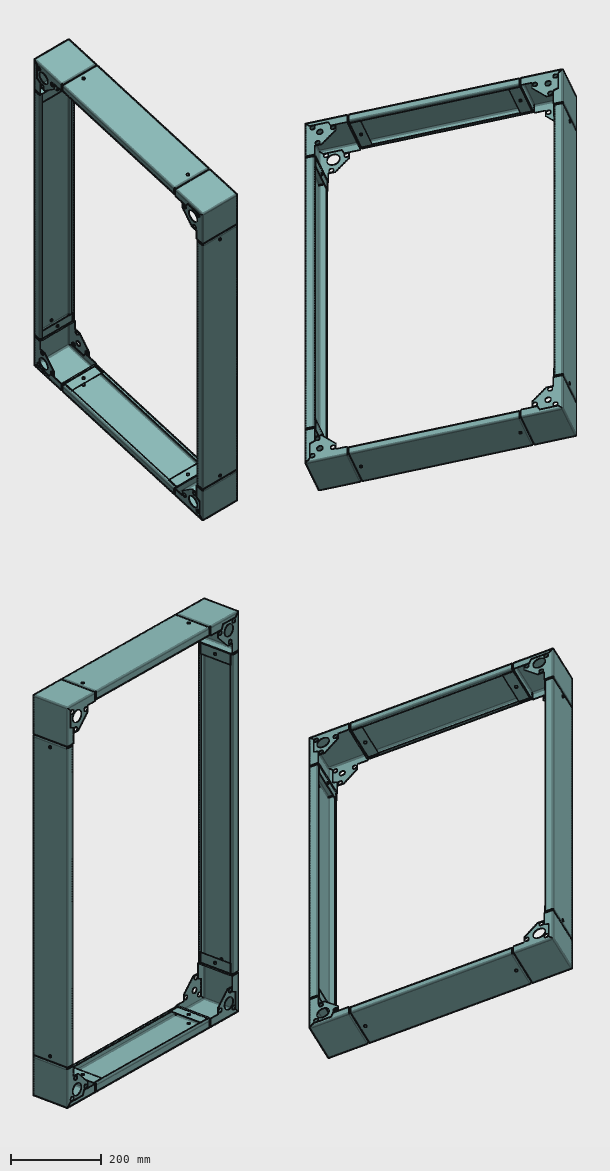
import cadquery as cq

frame_width = 600.0
frame_height = 1000.0
frame_depth = 100.0
sheet = 2.0
bend_radius = 3.0
inner_bend_radius = bend_radius - sheet

corner_size = 100.0
flange_width = 23.0
tab_reach = 28.0
tab_width = 88.0
gusset_reach = 72.5
gusset_tip = 39.0
front_opening_diameter = 30.0
back_opening_diameter = 14.0
opening_offset = 35.0
relief_hole_diameter = 11.0
relief_hole_offset = 18.0
bolt_hole_diameter = 11.0
bolt_hole_near = 30.0
bolt_hole_far = 65.5

slit_width = 0.4
slit_offset = 11.5
slit_turn = 55.0
slit_slant = 5.0

rail_depth = 22.0
joint_gap = 0.5
rail_return = 8.5
rivet_hole_diameter = 7.0
rivet_hole_offset = 15.0
seat_depth = rail_depth + sheet


def block(x_range, y_range, z_range):
    """Box given by its limits along each axis."""
    sizes = [high - low for low, high in (x_range, y_range, z_range)]
    lows = (x_range[0], y_range[0], z_range[0])
    return cq.Workplane("XY").box(*sizes, centered=False).translate(lows)


def across_depth(points):
    """Closed XZ outline extruded through the whole depth of the frame."""
    outline = cq.Workplane("XZ").polyline(points).close()
    return outline.extrude(frame_depth / 2, both=True)


def hole_along_y(x, z, diameter, y_start, y_end):
    """Cylinder parallel to Y between two depths."""
    cylinder = cq.Workplane("XZ").circle(diameter / 2).extrude(y_start - y_end)
    return cylinder.translate((x, y_start, z))


def swapped_legs(body):
    """Body of the level leg mirrored onto the upright leg."""
    return body.mirror("XY").rotate((0, 0, 0), (0, 1, 0), 90)


def end_reliefs(x_range):
    """Front and back notches that free an end wall from the flanges beside it."""
    half_width = frame_depth / 2
    z_range = (-flange_width, 0)
    front = block(x_range, (-half_width, bend_radius - half_width), z_range)
    return front.union(front.mirror("XZ"))


def corner_legs():
    """Two channel legs at a right angle, cut from one rounded cube."""
    cube = block((0, corner_size), (-frame_depth / 2, frame_depth / 2), (-corner_size, 0))
    cube = cube.faces(">Z or <X").edges().fillet(bend_radius)
    half_width = frame_depth / 2 - sheet
    far = corner_size - sheet
    cavity = block((sheet, far), (-half_width, half_width), (-far, -sheet))
    cavity = cavity.faces(">Z or <X").edges().fillet(inner_bend_radius)
    inner_side = block(
        (flange_width, 2 * corner_size),
        (-frame_depth, frame_depth),
        (-2 * corner_size, -flange_width),
    )
    legs = cube.cut(cavity).cut(inner_side)
    level_reliefs = end_reliefs((far, corner_size))
    return legs.cut(level_reliefs).cut(swapped_legs(level_reliefs))


def gusset_plates():
    """Front and back triangular plates that stiffen the inside of the corner."""
    outline = [
        (slit_offset, -slit_offset),
        (gusset_reach, -slit_offset),
        (gusset_reach, -gusset_tip),
        (gusset_tip, -gusset_reach),
        (flange_width, -gusset_reach),
        (flange_width, -flange_width),
        (slit_offset, -flange_width),
    ]
    plates = across_depth(outline)
    half_width = frame_depth / 2 - sheet
    between = block((0, corner_size), (-half_width, half_width), (-corner_size, 0))
    return plates.cut(between)


def gusset_slit():
    """Thin gap that parts the gusset from the flange of the upright leg."""
    edge = flange_width
    w = slit_width
    slant_end = slit_turn + slit_slant
    outline = [
        (bend_radius, -bend_radius),
        (slit_offset, -slit_offset),
        (slit_offset, -slit_turn),
        (edge, -slant_end),
        (edge, -gusset_reach),
        (edge + w, -gusset_reach),
        (edge + w, -slant_end + w),
        (slit_offset + w, -slit_turn + w),
        (slit_offset + w, -slit_offset),
        (bend_radius + w, -bend_radius),
    ]
    return across_depth(outline)


def gusset_holes():
    """Large front and small back opening, with three small holes through both plates."""
    half_depth = frame_depth / 2
    at = opening_offset
    holes = hole_along_y(at, -at, front_opening_diameter, -half_depth, 0)
    holes = holes.union(hole_along_y(at, -at, back_opening_diameter, 0, half_depth))
    small_holes = [
        (relief_hole_offset, relief_hole_offset, relief_hole_diameter),
        (bolt_hole_far, bolt_hole_near, bolt_hole_diameter),
        (bolt_hole_near, bolt_hole_far, bolt_hole_diameter),
    ]
    for x, drop, diameter in small_holes:
        holes = holes.union(hole_along_y(x, -drop, diameter, -half_depth, half_depth))
    return holes


def seat_tab():
    """Step at the end of the horizontal leg that reaches over the rim of the rail."""
    tab_y = (-tab_width / 2, tab_width / 2)
    riser = block((corner_size - sheet, corner_size), tab_y, (-seat_depth, -bend_radius))
    shelf = block((corner_size - sheet, corner_size + tab_reach), tab_y, (-seat_depth, -rail_depth))
    hole = cq.Workplane("XY").circle(rivet_hole_diameter / 2).extrude(-frame_depth)
    hole = hole.translate((corner_size + rivet_hole_offset, 0, 0))
    return riser.union(shelf).cut(hole)


def make_corner():
    """Corner piece with its outer corner at the origin and legs along +X and -Z."""
    corner = corner_legs().union(gusset_plates()).cut(gusset_slit()).cut(gusset_holes())
    level_tab = seat_tab()
    return corner.union(level_tab).union(swapped_legs(level_tab))


def make_rail(length):
    """Lipped channel centred on X, its web on top at Z = 0, with closed ends."""
    half_length = length / 2 - joint_gap
    half_width = frame_depth / 2
    rail = block((-half_length, half_length), (-half_width, half_width), (-rail_depth, 0))
    rail = rail.edges("|X or >Z").fillet(bend_radius)
    cavity_x = (sheet - half_length, half_length - sheet)
    cavity_y = (sheet - half_width, half_width - sheet)
    cavity = block(cavity_x, cavity_y, (sheet - rail_depth, -sheet))
    cavity = cavity.edges("|X or >Z").fillet(inner_bend_radius)
    mouth_y = (rail_return - half_width, half_width - rail_return)
    mouth = block(cavity_x, mouth_y, (-rail_depth, -rail_depth / 2))
    rail = rail.cut(cavity).cut(mouth)
    reliefs = end_reliefs((half_length - sheet, half_length))
    rail = rail.cut(reliefs).cut(reliefs.mirror("YZ"))
    for side in (-1, 1):
        hole = cq.Workplane("XY").circle(rivet_hole_diameter / 2).extrude(-rail_depth)
        rail = rail.cut(hole.translate((side * (length / 2 - rivet_hole_offset), 0, 0)))
    return rail


def turned(body, angle, x, z):
    """Body turned about Y, then moved within the XZ plane."""
    return body.rotate((0, 0, 0), (0, 1, 0), angle).translate((x, 0, z))


half_frame_width = frame_width / 2
half_frame_height = frame_height / 2

corner_places = [
    (0, -half_frame_width, half_frame_height),
    (90, half_frame_width, half_frame_height),
    (180, half_frame_width, -half_frame_height),
    (270, -half_frame_width, -half_frame_height),
]
corners = [turned(make_corner(), *place) for place in corner_places]

level_length = frame_width - 2 * corner_size
upright_length = frame_height - 2 * corner_size
rail_places = [
    (level_length, 0, 0, half_frame_height),
    (upright_length, 90, half_frame_width, 0),
    (level_length, 180, 0, -half_frame_height),
    (upright_length, 270, -half_frame_width, 0),
]
rails = [turned(make_rail(length), *place) for length, *place in rail_places]

result = cq.Compound.makeCompound([body.val() for body in corners + rails])